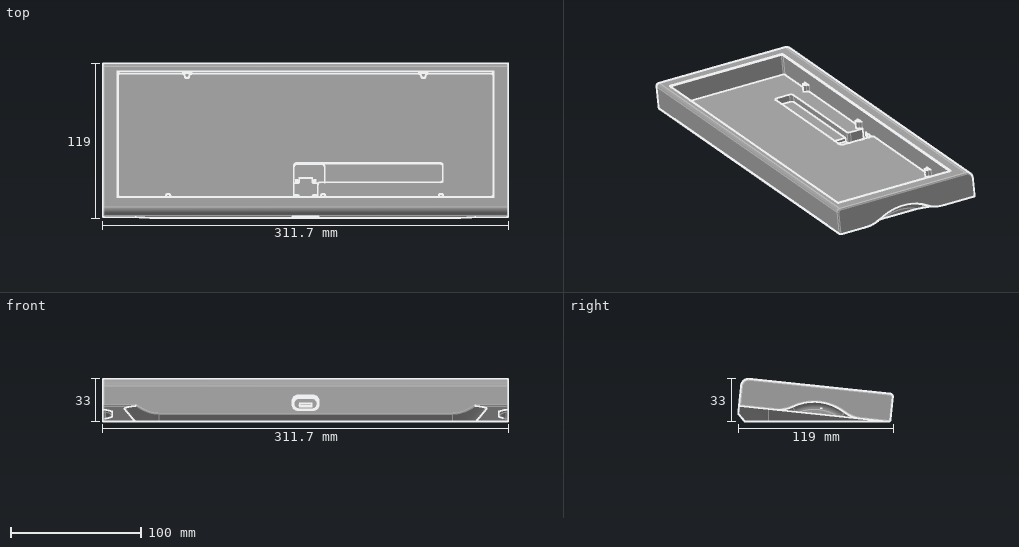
import cadquery as cq
import math

tilt_angle = 6.0
case_width = 311.7
case_depth = 117.08
case_height = 21.62
front_top_radius = 6.0
back_top_radius = 2.5
bottom_radius = 1.5
edge_radius = 1.0
chamfer_angle = 45.0

pocket_width = 288.0
pocket_length = 96.5
pocket_depth = 16.8
pocket_corner_radius = 1.0
pocket_rim_chamfer = 0.5
back_wall = 6.8
floor_level = case_height - pocket_depth
pocket_front_y = -(back_wall + pocket_length)
pocket_back_y = -back_wall

boss_tip_radius = 1.8
boss_flare_radius = 1.7
boss_height = 5.5
back_boss_xs = (-91.0, 90.5)
front_boss_xs = (-105.5, 13.5, 104.0)

recess_corner_radius = 2.2
recess_inside_radius = 2.0
channel_left_x = -8.9
channel_right_x = 105.5
channel_width = 15.0
channel_back_y = -75.5
channel_depth = 6.0
cable_bay_length = 23.5
bay_depth = 9.0
board_width = 18.1
board_depth = 10.0
board_back_y = channel_back_y - 10.7
standoff_size = 4.0
standoff_nose_radius = 1.5
screw_hole_diameter = 1.6
screw_hole_depth = 4.0

port_width = 18.4
port_height = 9.6
port_corner_diameter = 8.0
port_chamfer = 1.0
port_depth = 11.0
port_level = 2.4
plug_width = 9.2
plug_height = 2.6
plug_level = 2.0

scoop_center_y = -56.0
scoop_half_length = 33.0
scoop_height = 9.3
scoop_flare_radius = 25.0
scoop_depth = 7.5
scoop_blend_radius = 5.5

foot_end_inset = 25.0
foot_corner_radius = 18.0
foot_draft_angle = 40.0
foot_front_edge_height = 6.2
foot_overlap = 2.0

tilt = math.radians(tilt_angle)
front_corner_drop = (case_depth * math.sin(tilt) - foot_front_edge_height) / math.cos(tilt)
foot_front_edge_y = -case_depth * math.cos(tilt) - front_corner_drop * math.sin(tilt)
foot_front_y = foot_front_edge_y + foot_front_edge_height * math.tan(math.radians(foot_draft_angle))
table_lift = bottom_radius * (1 - math.cos(tilt) - math.sin(tilt))


def block(x_min, x_max, y_min, y_max, z_min, z_max):
    """Axis-aligned box given by its limits."""
    size = (x_max - x_min, y_max - y_min, z_max - z_min)
    return cq.Workplane("XY").box(*size, centered=False).translate((x_min, y_min, z_min))


def to_table(shape):
    """Tilt a shape from the case frame so that the front rises and the back edge rests on the table."""
    return shape.rotate((0, 0, 0), (1, 0, 0), -tilt_angle).translate((0, 0, table_lift))


def to_case(shape):
    """Bring a shape from the table frame back into the case frame."""
    return shape.translate((0, 0, -table_lift)).rotate((0, 0, 0), (1, 0, 0), tilt_angle)


def case_body():
    half = case_width / 2
    body = block(-half, half, -case_depth, 0, 0, case_height)
    body = body.edges("|X and >Z and <Y").fillet(front_top_radius)
    body = body.edges("|X and >Z and >Y").fillet(back_top_radius)
    body = body.edges("|X and <Z and >Y").fillet(bottom_radius)
    for side in (-1, 1):
        body = body.cut(finger_scoop(side))
    return body


def finger_scoop(side):
    """Arched grip cut inward from one end; side is -1 or 1."""
    half = scoop_half_length
    radius_sum = (half**2 + scoop_height**2) / (2 * scoop_height)
    crown_radius = radius_sum - scoop_flare_radius
    join_angle = math.asin(half / radius_sum)
    join_y = crown_radius * math.sin(join_angle)
    join_z = scoop_height - crown_radius * (1 - math.cos(join_angle))
    flare_y = half - scoop_flare_radius * math.sin(join_angle / 2)
    flare_z = scoop_flare_radius * (1 - math.cos(join_angle / 2))
    scoop = (
        cq.Workplane("YZ")
        .moveTo(-half, 0)
        .threePointArc((-flare_y, flare_z), (-join_y, join_z))
        .threePointArc((0, scoop_height), (join_y, join_z))
        .threePointArc((flare_y, flare_z), (half, 0))
        .lineTo(half, -scoop_height)
        .lineTo(-half, -scoop_height)
        .close()
        .extrude(scoop_depth)
    )
    scoop = scoop.faces(">X").edges("%CIRCLE").fillet(scoop_blend_radius)
    scoop = scoop.translate((-case_width / 2, scoop_center_y, 0))
    return scoop if side < 0 else scoop.mirror("YZ")


def foot():
    """Drafted foot with a level sole, trimmed flush with the front and back of the case."""
    half_case = case_width / 2
    half_sole = half_case - foot_end_inset
    height = case_depth * math.sin(tilt) + foot_overlap
    sole = block(-half_sole, half_sole, foot_front_y, 0, 0, height)
    sole = sole.edges("|Z and <Y").fillet(foot_corner_radius)
    pad = sole.faces("<Z").wires().toPending().extrude(height, taper=-foot_draft_angle, combine=False)
    envelope = block(-half_case, half_case, -case_depth, -bottom_radius, -case_depth, foot_overlap)
    return to_case(pad).intersect(envelope)


def soften_edges(case):
    """Round both end outlines and the lower edge of the front wall, which runs over the foot."""
    reach = case_width
    strip = cq.selectors.BoxSelector(
        (-reach, -case_depth - foot_overlap, -case_depth), (reach, -case_depth + edge_radius / 2, foot_overlap)
    )
    edges = case.edges(strip).add(case.faces("<X or >X").edges("not (<Y and <Z)"))
    return edges.fillet(edge_radius)


def wall_boss(x, wall_y, direction):
    """Round-nosed boss with flared sides, standing on the pocket floor against a wall."""
    tip = boss_tip_radius
    flare = boss_flare_radius
    mid = flare * (1 - math.sqrt(0.5))
    root = tip + flare
    return (
        cq.Workplane("XY", origin=(x, wall_y, floor_level))
        .moveTo(-root, 0)
        .threePointArc((-tip - mid, direction * mid), (-tip, direction * flare))
        .threePointArc((0, direction * root), (tip, direction * flare))
        .threePointArc((tip + mid, direction * mid), (root, 0))
        .close()
        .extrude(boss_height)
    )


def main_pocket():
    half = pocket_width / 2
    pocket = block(-half, half, pocket_front_y, pocket_back_y, floor_level, case_height)
    pocket = pocket.edges("|Z").fillet(pocket_corner_radius)
    for x in back_boss_xs:
        pocket = pocket.cut(wall_boss(x, pocket_back_y, -1))
    for x in front_boss_xs:
        pocket = pocket.cut(wall_boss(x, pocket_front_y, 1))
    rim = cq.Workplane("XY", origin=(0, (pocket_front_y + pocket_back_y) / 2, case_height))
    rim = rim.rect(pocket_width + 2 * pocket_rim_chamfer, pocket_length + 2 * pocket_rim_chamfer)
    rim = rim.extrude(-pocket_rim_chamfer, taper=chamfer_angle)
    return pocket.union(rim)


def electronics_recess():
    """Cable channel, deeper bay at its left end and the board recess by the front wall."""
    channel_front_y = channel_back_y - channel_width
    bay_right_x = channel_left_x + cable_bay_length
    board_right_x = channel_left_x + board_width
    bay_level = floor_level - bay_depth
    board_level = floor_level - board_depth

    channel = block(channel_left_x, channel_right_x, channel_front_y, channel_back_y,
                    floor_level - channel_depth, floor_level)
    channel = channel.edges("|Z").fillet(recess_corner_radius)
    bay = block(channel_left_x, bay_right_x, channel_front_y, channel_back_y, bay_level, floor_level)
    bay = bay.edges("|Z and >Y").fillet(recess_corner_radius)
    board = block(channel_left_x, board_right_x, pocket_front_y, channel_front_y, bay_level, floor_level)
    recess = channel.union(bay).union(board)
    inside_corner = cq.selectors.NearestToPointSelector((board_right_x, channel_front_y, floor_level - 1))
    recess = recess.edges("|Z").edges(inside_corner).fillet(recess_inside_radius)

    well = block(channel_left_x, board_right_x, pocket_front_y, board_back_y, board_level, bay_level)
    well_center = well.val().Center()
    half_post = standoff_size / 2
    for x in (channel_left_x + half_post, board_right_x - half_post):
        for y in (pocket_front_y + half_post, board_back_y - half_post):
            post = block(x - half_post, x + half_post, y - half_post, y + half_post, board_level, bay_level)
            nose = cq.selectors.NearestToPointSelector((well_center.x, well_center.y, bay_level))
            well = well.cut(post.edges("|Z").edges(nose).fillet(standoff_nose_radius))
            hole = cq.Workplane("XY").center(x, y).circle(screw_hole_diameter / 2).extrude(-screw_hole_depth)
            recess = recess.union(hole.translate((0, 0, bay_level)))
    return recess.union(well)


def connector_opening():
    """Rounded opening with a chamfered mouth, and a slot from its end wall through to the recess."""
    front = cq.Workplane("XZ", origin=(0, -case_depth, port_level))
    corner_radius = port_corner_diameter / 2
    outline = cq.Sketch().rect(port_width, port_height).vertices().fillet(corner_radius)
    mouth_width = port_width + 2 * port_chamfer
    mouth_height = port_height + 2 * port_chamfer
    mouth_outline = cq.Sketch().rect(mouth_width, mouth_height).vertices().fillet(corner_radius + port_chamfer)
    port = front.placeSketch(outline).extrude(-port_depth)
    mouth = front.placeSketch(mouth_outline).extrude(-port_chamfer, taper=chamfer_angle)
    plug_length = case_depth + pocket_front_y
    plug = front.center(0, plug_level - port_level).rect(plug_width, plug_height).extrude(-plug_length)
    return port.union(mouth).union(plug)


case = case_body().union(foot())
case = soften_edges(case)
for opening in (main_pocket(), electronics_recess(), connector_opening()):
    case = case.cut(opening)
result = to_table(case)